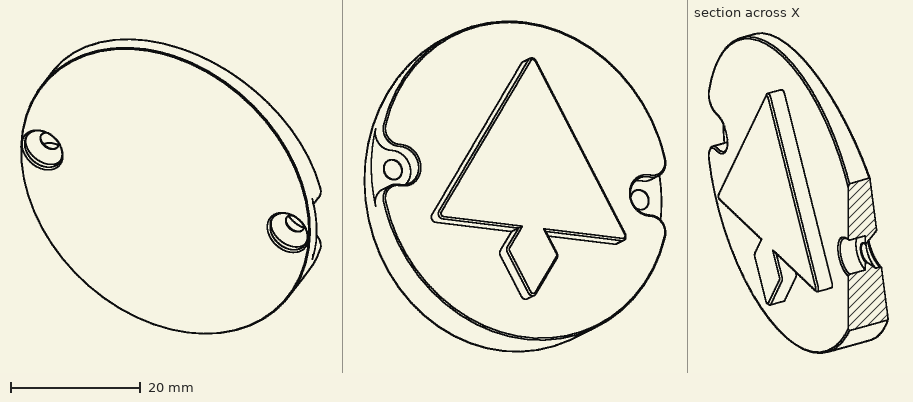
import cadquery as cq
import math

width = 50.0
height = 50.45
half_width = width / 2
half_height = height / 2
thin_edge = 2.4
thick_edge = 8.6
face_centre_y = -(thin_edge + thick_edge) / 2
slant_angle = math.degrees(math.atan((thick_edge - thin_edge) / height))
back_edge_chamfer = 0.25
front_edge_chamfer = 0.15

screw_x = 21.25
screw_radius = 1.55
head_radius = 3.25
rim_bevel = 0.3
cone_top_y = -4.85

notch_depth = 3.05
notch_radius = 3.05
notch_mouth_radius = 2.5

pad_height = 2.7
pad_corner = 0.75
pad_edge_chamfer = 0.3
pad_slope = math.radians(59.2)
pad_tip_z = 18.15
arrow_base_z = -7.65
diamond_centre_z = -12.05


def make_notched_blank():
    """Oval block of full thickness with the notches and the bevelled back edge."""
    blank = cq.Workplane("XZ").ellipse(half_width, half_height).extrude(thick_edge)
    notch = make_notch()
    blank = blank.cut(notch).cut(notch.mirror("YZ"))
    for side in (-1, 1):
        mouth_corners = cq.selectors.BoxSelector(
            (side * (screw_x + 0.5), 0.5 - notch_depth, -notch_radius - 0.5),
            (side * half_width, -0.5, notch_radius + 0.5),
        )
        blank = blank.edges(mouth_corners).fillet(notch_mouth_radius)
    return blank.faces(">Y").chamfer(back_edge_chamfer)


def make_plate():
    wedge = (
        cq.Workplane("YZ")
        .moveTo(0, -half_height)
        .lineTo(-thick_edge, -half_height)
        .lineTo(-thin_edge, half_height)
        .lineTo(0, half_height)
        .close()
        .extrude(half_width, both=True)
    )
    return make_notched_blank().intersect(wedge).faces("<Y").chamfer(front_edge_chamfer)


def turned_about_y(profile):
    """Solid of revolution about Y from (radius, Y) points, closed along the axis."""
    first_y = profile[0][1]
    last_y = profile[-1][1]
    outline = [(0, first_y), *profile, (0, last_y)]
    return cq.Workplane("XY").polyline(outline).close().revolve(360, (0, 0, 0), (0, 1, 0))


def make_screw_hole():
    cone_bottom_y = cone_top_y + head_radius - screw_radius
    bore = turned_about_y(
        [
            (head_radius, -thick_edge),
            (head_radius, cone_top_y),
            (screw_radius, cone_bottom_y),
            (screw_radius, 0),
        ]
    )
    bevel = turned_about_y([(head_radius + rim_bevel, 0), (head_radius, rim_bevel)])
    bevel = bevel.rotate((0, 0, 0), (1, 0, 0), -slant_angle).translate((0, face_centre_y, 0))
    return bore.union(bevel).translate((screw_x, 0, 0))


def make_notch():
    slot_length = half_width - screw_x + 0.5
    slot = cq.Workplane("XZ").center(screw_x + slot_length / 2, 0).rect(slot_length, 2 * notch_radius)
    end = cq.Workplane("XZ").center(screw_x, 0).circle(notch_radius).extrude(notch_depth)
    return slot.extrude(notch_depth).union(end)


def rounded_prism(corners):
    return cq.Workplane("XZ").polyline(corners).close().offset2D(pad_corner).extrude(-pad_height)


def make_pad():
    arrow_half_width = (pad_tip_z - arrow_base_z) / math.tan(pad_slope)
    diamond_half_height = pad_tip_z + diamond_centre_z
    diamond_half_width = diamond_half_height / math.tan(pad_slope)
    arrow = rounded_prism(
        [(0, pad_tip_z), (arrow_half_width, arrow_base_z), (-arrow_half_width, arrow_base_z)]
    )
    diamond = rounded_prism(
        [
            (0, -pad_tip_z),
            (diamond_half_width, diamond_centre_z),
            (0, diamond_centre_z + diamond_half_height),
            (-diamond_half_width, diamond_centre_z),
        ]
    )
    return arrow.union(diamond).faces(">Y").chamfer(pad_edge_chamfer)


screw_hole = make_screw_hole()
result = make_plate().cut(screw_hole).cut(screw_hole.mirror("YZ")).union(make_pad())